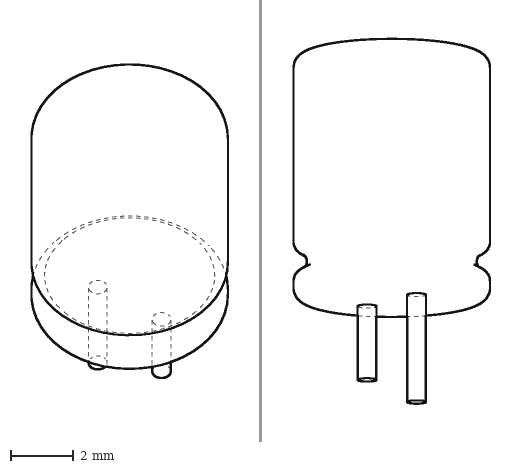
import cadquery as cq
import math

total_height = 11.5
long_lead_length = 3.5
short_lead_length = 2.4

can_diameter = 6.3
can_radius = can_diameter / 2
can_height = total_height - long_lead_length
rim_radius = 0.4

groove_height = 1.28
groove_depth = 0.43
groove_radius = 0.4
lip_radius = 0.28

lead_diameter = 0.6
lead_spacing = 2.5


def can_profile():
    """Half section of the can, from the axis outwards; the can bottom is at Z = 0."""
    rim_inset = rim_radius * (1 - math.sqrt(0.5))
    flat_radius = can_radius - rim_radius

    lip_angle = math.acos(1 - groove_depth / (groove_radius + lip_radius))
    groove_half_height = (groove_radius + lip_radius) * math.sin(lip_angle)
    waist_half_height = groove_radius * math.sin(lip_angle)
    waist_radius = can_radius - groove_depth
    waist_edge_radius = can_radius - lip_radius * (1 - math.cos(lip_angle))
    lip_middle_radius = can_radius - lip_radius * (1 - math.cos(lip_angle / 2))
    lip_middle_height = groove_half_height - lip_radius * math.sin(lip_angle / 2)

    return (
        cq.Workplane("XZ")
        .lineTo(flat_radius, 0)
        .threePointArc((can_radius - rim_inset, rim_inset), (can_radius, rim_radius))
        .lineTo(can_radius, groove_height - groove_half_height)
        .threePointArc(
            (lip_middle_radius, groove_height - lip_middle_height),
            (waist_edge_radius, groove_height - waist_half_height),
        )
        .threePointArc(
            (waist_radius, groove_height),
            (waist_edge_radius, groove_height + waist_half_height),
        )
        .threePointArc(
            (lip_middle_radius, groove_height + lip_middle_height),
            (can_radius, groove_height + groove_half_height),
        )
        .lineTo(can_radius, can_height - rim_radius)
        .threePointArc((can_radius - rim_inset, can_height - rim_inset), (flat_radius, can_height))
        .lineTo(0, can_height)
        .close()
    )


def make_can():
    """Solid can with rounded rims and a crimp groove."""
    return can_profile().revolve(360, (0, 0, 0), (0, 1, 0))


def make_lead(x_position, length):
    """Round wire hanging down from the can bottom."""
    return cq.Workplane("XY").center(x_position, 0).circle(lead_diameter / 2).extrude(-length)


can = make_can()

lead_places = [
    (-lead_spacing / 2, long_lead_length),
    (lead_spacing / 2, short_lead_length),
]
leads = [make_lead(x_position, length).val() for x_position, length in lead_places]

result = cq.Compound.makeCompound([can.val(), *leads])